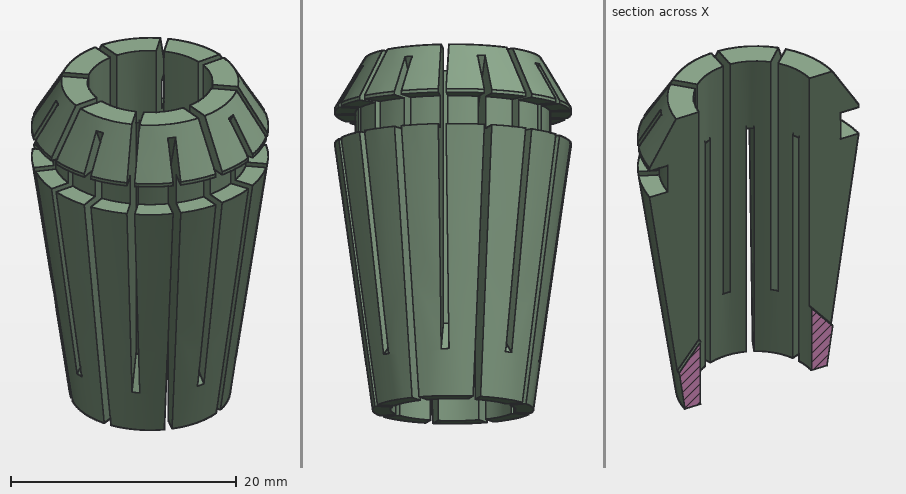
import cadquery as cq
import math


length = 31.5
max_radius = 10.5
bore_radius = 5.55
body_taper = math.radians(8)
groove_bottom = 23.88
groove_top = 26.7
groove_radius = 8.65
rim_height = 0.3
nose_radius = 7.85

base_radius = max_radius - groove_bottom * math.tan(body_taper)
cone_bottom = groove_top + rim_height
nose_slope = (max_radius - nose_radius) / (length - cone_bottom)

slots_per_set = 8
slot_pitch = 360 / slots_per_set
slot_width = 0.7
overcut = 1.58

floor_outer_z = 4.13
floor_inner_z = 6.8
ceiling_outer_z = 30.45
ceiling_slope = math.tan(math.radians(65))

floor_outer_radius = base_radius + floor_outer_z * math.tan(body_taper)
floor_slope = (floor_inner_z - floor_outer_z) / (floor_outer_radius - bore_radius)
ceiling_outer_radius = nose_radius + (length - ceiling_outer_z) * nose_slope

cutter_inner = bore_radius - overcut
cutter_outer = max_radius + overcut


def collet_blank():
    """Revolve the wall section into the unslotted collet."""
    section = [
        (bore_radius, 0),
        (base_radius, 0),
        (max_radius, groove_bottom),
        (groove_radius, groove_bottom),
        (groove_radius, groove_top),
        (max_radius, groove_top),
        (max_radius, cone_bottom),
        (nose_radius, length),
        (bore_radius, length),
    ]
    return cq.Workplane("XZ").polyline(section).close().revolve(360, (0, 0), (0, 1))


def slot_cutter(end_radius, end_z, end_slope, open_z):
    """Radial blade open at open_z, with a sloped end that rises or falls with the radius.

    The end passes through (end_radius, end_z) and changes by end_slope per unit of radius.
    """
    profile = [
        (cutter_inner, open_z),
        (cutter_outer, open_z),
        (cutter_outer, end_z + (cutter_outer - end_radius) * end_slope),
        (cutter_inner, end_z + (cutter_inner - end_radius) * end_slope),
    ]
    return cq.Workplane("XZ").polyline(profile).close().extrude(slot_width / 2, both=True)


def cut_slots(body, cutter, first_angle):
    """Cut one set of equally spaced slots around the axis."""
    for index in range(slots_per_set):
        angle = first_angle + index * slot_pitch
        body = body.cut(cutter.rotate((0, 0, 0), (0, 0, 1), angle))
    return body


top_slot = slot_cutter(floor_outer_radius, floor_outer_z, -floor_slope, length + overcut)
bottom_slot = slot_cutter(ceiling_outer_radius, ceiling_outer_z, ceiling_slope, -overcut)

result = collet_blank()
result = cut_slots(result, top_slot, 0)
result = cut_slots(result, bottom_slot, slot_pitch / 2)